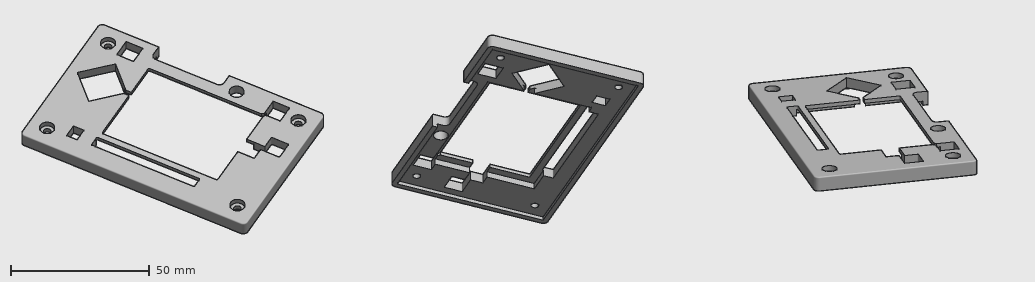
import cadquery as cq

LENGTH = 92.7
WIDTH = 61.1
HEIGHT = 5.4
CORNER_RADIUS = 1.95
TOP_EDGE_RADIUS = 0.5

RIM_WIDTH = 1.95
RIM_HEIGHT = 1.5

WINDOW_LEFT, WINDOW_RIGHT = -20.5, 27.0
WINDOW_BOTTOM, WINDOW_TOP = -16.0, 19.6
WINDOW_RADIUS = 0.5
SKIN = 1.5
POCKET_LEFT, POCKET_RIGHT = -23.8, 29.9
POCKET_BOTTOM, POCKET_TOP = -19.0, 21.8

NOTCH_LEFT, NOTCH_RIGHT = -22.2, 6.9
NOTCH_BOTTOM = 24.5
NOTCH_RADIUS = 1.95

SCREW_X = 39.1
SCREW_Y = 23.2
SCREW_DIAMETER = 2.8
HEAD_DIAMETER = 5.5
HEAD_DEPTH = 2.0

ROUND_X, ROUND_Y = 12.9, 24.8
ROUND_DIAMETER = 5.4

DIAMOND_X, DIAMOND_Y = -32.0, 5.5
DIAMOND_REACH = 10.2
GAP_WIDTH = 1.7

DIAGONAL_X, DIAGONAL_Y = 26.8, 19.7
DIAGONAL_LENGTH = 2.4
DIAGONAL_WIDTH = 1.2

BACK_LEFT_OPENING = (-33.75, -26.9, 19.8, 27.0)
BACK_RIGHT_OPENING = (26.7, 33.5, 19.8, 27.0)
FRONT_LEFT_OPENING = (-31.2, -26.9, -23.1, -17.9)
LONG_SLOT = (-21.1, 21.1, -22.8, -18.5)
SLOT_RADIUS = 0.4
BUTTON_A = (34.5, 41.5, 4.4, 11.4)
BUTTON_RADIUS = 0.3
BUTTON_B = (WINDOW_RIGHT - WINDOW_RADIUS, 33.75, -0.5, 6.3)

BUTTON_LINK = (BUTTON_B[1], BUTTON_A[0] + BUTTON_RADIUS, BUTTON_A[2], BUTTON_B[3])


def block(left, right, front, back, bottom=0.0, top=HEIGHT):
    """Rectangular block between the given limits in X, Y and Z."""
    size = (right - left, back - front, top - bottom)
    return cq.Workplane("XY").box(*size, centered=False).translate((left, front, bottom))


def plate():
    """Rounded plate with a softened top edge and the recessed underside."""
    body = (
        cq.Workplane("XY")
        .rect(LENGTH, WIDTH)
        .extrude(HEIGHT)
        .edges("|Z")
        .fillet(CORNER_RADIUS)
        .faces(">Z")
        .edges()
        .fillet(TOP_EDGE_RADIUS)
    )
    inner_x = LENGTH / 2 - RIM_WIDTH
    inner_y = WIDTH / 2 - RIM_WIDTH
    return body.cut(block(-inner_x, inner_x, -inner_y, inner_y, top=RIM_HEIGHT))


def display():
    """Window cutter together with the pocket hidden below the skin."""
    window = block(WINDOW_LEFT, WINDOW_RIGHT, WINDOW_BOTTOM, WINDOW_TOP)
    window = window.edges("|Z").fillet(WINDOW_RADIUS)
    pocket = block(POCKET_LEFT, POCKET_RIGHT, POCKET_BOTTOM, POCKET_TOP, top=HEIGHT - SKIN)
    return window.union(pocket)


def notch():
    """Cutter for the back edge notch, rounded at its two inner corners."""
    cutter = block(NOTCH_LEFT, NOTCH_RIGHT, NOTCH_BOTTOM, WIDTH / 2)
    return cutter.edges("|Z and <Y").fillet(NOTCH_RADIUS)


def diamond():
    """Square opening standing on its corner, with its gap to the window."""
    reach = DIAMOND_REACH
    opening = (
        cq.Workplane("XY")
        .polyline([(-reach, 0), (0, -reach), (reach, 0), (0, reach)])
        .close()
        .extrude(HEIGHT)
        .translate((DIAMOND_X, DIAMOND_Y, 0))
    )
    gap_front = DIAMOND_Y - GAP_WIDTH / 2
    gap = block(DIAMOND_X, WINDOW_LEFT, gap_front, gap_front + GAP_WIDTH)
    return opening.union(gap)


def diagonal_gap():
    """Narrow cutter running at 45 degrees across the window corner."""
    return (
        cq.Workplane("XY")
        .rect(DIAGONAL_LENGTH, DIAGONAL_WIDTH)
        .extrude(HEIGHT)
        .rotate((0, 0, 0), (0, 0, 1), 45)
        .translate((DIAGONAL_X, DIAGONAL_Y, 0))
    )


def drill_holes(body):
    """Four counterbored screw holes and the plain round hole."""
    top = body.faces(">Z").workplane(origin=(0, 0, HEIGHT))
    body = top.rect(2 * SCREW_X, 2 * SCREW_Y, forConstruction=True).vertices().cboreHole(
        SCREW_DIAMETER, HEAD_DIAMETER, HEAD_DEPTH
    )
    top = body.faces(">Z").workplane(origin=(0, 0, HEIGHT))
    return top.center(ROUND_X, ROUND_Y).hole(ROUND_DIAMETER)


result = plate()
for cutter in (display(), notch(), diamond(), diagonal_gap()):
    result = result.cut(cutter)

plain_openings = (
    BACK_LEFT_OPENING,
    BACK_RIGHT_OPENING,
    FRONT_LEFT_OPENING,
    BUTTON_B,
    BUTTON_LINK,
)
for limits in plain_openings:
    result = result.cut(block(*limits))
rounded_openings = ((LONG_SLOT, SLOT_RADIUS), (BUTTON_A, BUTTON_RADIUS))
for limits, radius in rounded_openings:
    result = result.cut(block(*limits).edges("|Z").fillet(radius))

result = drill_holes(result)